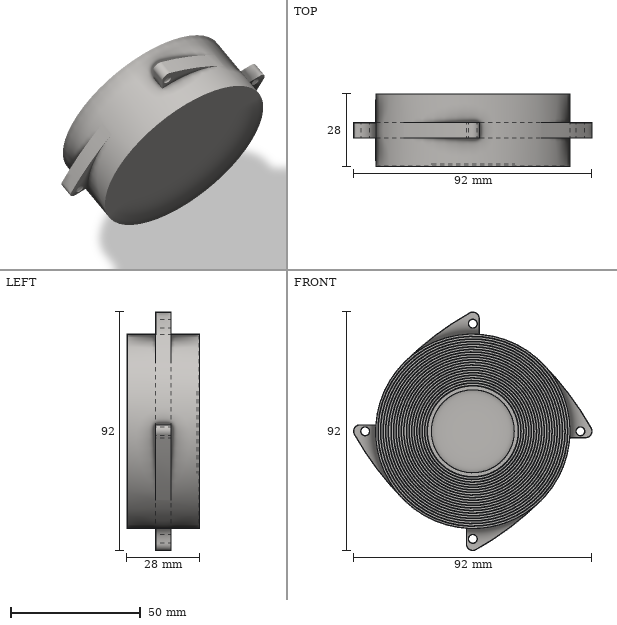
import cadquery as cq
import math

body_radius = 37.5
body_length = 28.0

recess_radius = 16.0
recess_depth = 1.0

groove_pitch = 1.0
groove_width = 0.2
groove_depth = 0.3
first_groove_radius = 17.6
groove_count = 20

lug_count = 4
lug_thickness = 6.0
lug_reach = 46.0
lug_tip_radius = 2.5
lug_hole_diameter = 3.3
lug_hole_distance = 41.5
sweep_start_angle = math.radians(135)


def circle_point(center, radius, angle):
    """Point on a circle in the X-Z plane, with the angle measured from +X towards +Z."""
    return (center[0] + radius * math.cos(angle), center[1] + radius * math.sin(angle))


def make_body():
    disc = cq.Workplane("XZ").circle(body_radius).extrude(-body_length)
    recess = cq.Workplane("XZ").circle(recess_radius).extrude(-recess_depth)
    return disc.cut(recess)


def make_groove(middle_radius):
    """Ring with a V section, open at the front face."""
    half_width = groove_width / 2
    section = (
        cq.Workplane("XY")
        .moveTo(middle_radius - half_width, 0)
        .lineTo(middle_radius + half_width, 0)
        .lineTo(middle_radius, groove_depth)
        .close()
    )
    return section.revolve(360, (0, 0, 0), (0, 1, 0))


def make_lug():
    """Top lug: straight on its +X side, swept back to the body on its -X side.

    The swept side is one arc, tangent to both the body and the round tip.
    """
    body_center = (0, 0)
    tip_center = (0, lug_reach - lug_tip_radius)

    radius_gap = body_radius - lug_tip_radius
    tip_slope = tip_center[1] * math.sin(sweep_start_angle)
    center_distance = (tip_center[1] ** 2 - radius_gap**2) / (2 * (radius_gap - tip_slope))
    sweep_center = circle_point(body_center, -center_distance, sweep_start_angle)
    sweep_radius = body_radius + center_distance

    tip_angle = math.atan2(tip_center[1] - sweep_center[1], tip_center[0] - sweep_center[0])
    sweep_start = circle_point(body_center, body_radius, sweep_start_angle)
    sweep_middle = circle_point(sweep_center, sweep_radius, (sweep_start_angle + tip_angle) / 2)
    tip_start = circle_point(tip_center, lug_tip_radius, tip_angle)
    tip_middle = circle_point(tip_center, lug_tip_radius, tip_angle / 2)
    tip_end = circle_point(tip_center, lug_tip_radius, 0)

    lug_front = cq.Workplane("XZ", origin=(0, (body_length - lug_thickness) / 2, 0))
    plate = (
        lug_front.moveTo(*sweep_start)
        .threePointArc(sweep_middle, tip_start)
        .threePointArc(tip_middle, tip_end)
        .lineTo(tip_end[0], sweep_start[1])
        .close()
        .extrude(-lug_thickness)
    )
    hole = (
        lug_front.center(0, lug_hole_distance)
        .circle(lug_hole_diameter / 2)
        .extrude(-lug_thickness)
    )
    return plate.cut(hole)


result = make_body()

for index in range(groove_count):
    result = result.cut(make_groove(first_groove_radius + index * groove_pitch))

lug = make_lug()
for index in range(lug_count):
    result = result.union(lug.rotate((0, 0, 0), (0, 1, 0), index * 360 / lug_count))